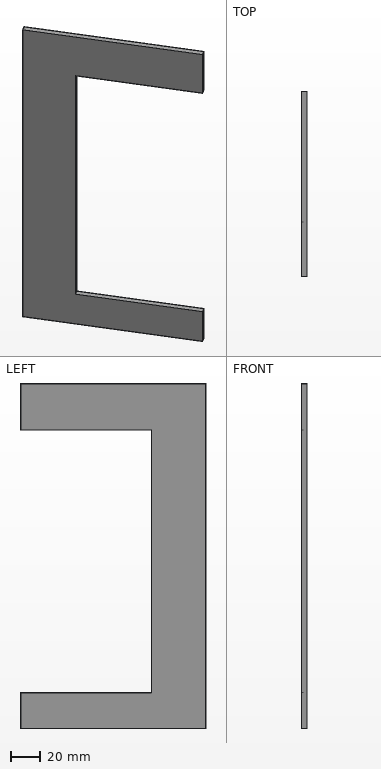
import cadquery as cq

thickness = 4.0
depth = 127.0
height = 236.5

top_arm_height = 32.0
bottom_arm_height = 24.5
web_width = 37.4

opening_depth = depth - web_width
opening_height = height - top_arm_height - bottom_arm_height

plate = cq.Workplane("XY").box(thickness, depth, height, centered=(True, False, False))

opening = (
    cq.Workplane("XY")
    .box(thickness, opening_depth, opening_height, centered=(True, False, False))
    .translate((0, web_width, bottom_arm_height))
)

result = plate.cut(opening)